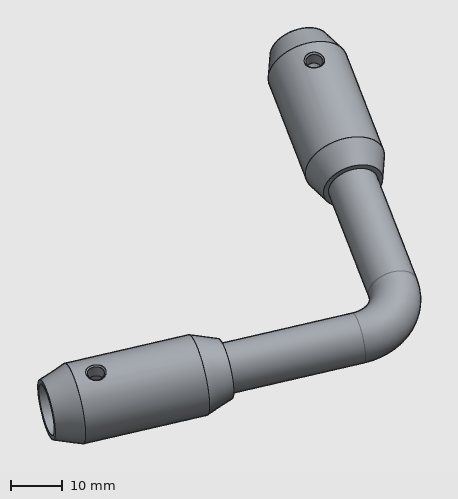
import cadquery as cq

overall = 81.0
sleeve_diameter = 16.0
sleeve_length = 36.05
sleeve_end_diameter = 12.0
taper_length = 5.5
rod_diameter = 10.0
bend_radius = 10.05
bore_diameter = 10.2
bore_depth = 20.0
pin_hole_diameter = 3.3
pin_hole_chamfer = 0.3
pin_hole_inset = 10.0

sleeve_radius = sleeve_diameter / 2
arm_length = overall - sleeve_radius
sleeve_inner_end = arm_length - sleeve_length


def make_rod():
    """Round rod from sleeve to sleeve with a 90 degree bend."""
    path = (
        cq.Workplane("XY")
        .moveTo(-arm_length, 0)
        .lineTo(-bend_radius, 0)
        .radiusArc((0, -bend_radius), bend_radius)
        .lineTo(0, -arm_length)
    )
    profile = cq.Workplane("YZ", origin=(-arm_length, 0, 0)).circle(rod_diameter / 2)
    return profile.sweep(path)


def make_sleeve():
    """Sleeve on the -X arm, tapered at both ends."""
    end_radius = sleeve_end_diameter / 2
    return (
        cq.Workplane("XY")
        .moveTo(-arm_length, 0)
        .lineTo(-arm_length, end_radius)
        .lineTo(-arm_length + taper_length, sleeve_radius)
        .lineTo(-sleeve_inner_end - taper_length, sleeve_radius)
        .lineTo(-sleeve_inner_end, end_radius)
        .lineTo(-sleeve_inner_end, 0)
        .close()
        .revolve(360, (0, 0, 0), (1, 0, 0))
    )


def make_sleeve_cuts():
    """Blind end bore and the pin hole through the upper wall of the -X sleeve."""
    bore = (
        cq.Workplane("YZ", origin=(-arm_length, 0, 0))
        .circle(bore_diameter / 2)
        .extrude(bore_depth)
    )
    pin_hole = (
        cq.Workplane("XY")
        .center(-arm_length + pin_hole_inset, 0)
        .circle(pin_hole_diameter / 2)
        .extrude(sleeve_radius)
    )
    return bore.union(pin_hole)


def chamfer_pin_hole(arm):
    """Break the outer edge of the pin hole in the -X sleeve."""
    hole_x = -arm_length + pin_hole_inset
    mouth = cq.selectors.BoxSelector(
        (hole_x - pin_hole_diameter, -pin_hole_diameter, sleeve_radius - pin_hole_diameter / 2),
        (hole_x + pin_hole_diameter, pin_hole_diameter, sleeve_radius + pin_hole_diameter / 2),
    )
    return arm.edges(mouth).chamfer(pin_hole_chamfer)


def on_other_arm(shape):
    """Turn a shape from the -X arm onto the -Y arm."""
    return shape.rotate((0, 0, 0), (0, 0, 1), 90)


sleeve = make_sleeve()
sleeve_cuts = make_sleeve_cuts()
finished_sleeve = chamfer_pin_hole(sleeve.cut(sleeve_cuts))

result = (
    make_rod()
    .cut(sleeve_cuts)
    .cut(on_other_arm(sleeve_cuts))
    .union(finished_sleeve)
    .union(on_other_arm(finished_sleeve))
)